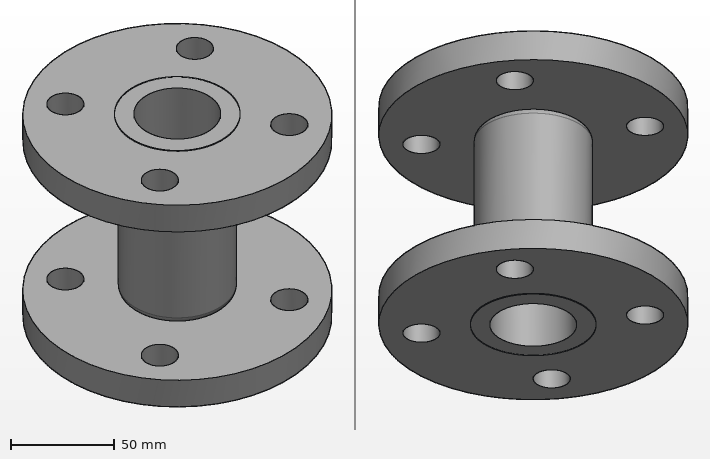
import cadquery as cq

flange_diameter = 150.0
flange_thickness = 16.0
total_height = 122.0
bore_diameter = 42.2

face_diameter = 61.0
face_height = 0.5

body_diameter = 57.5
body_edge_radius = 3.8
body_length = total_height - 2 * (flange_thickness + face_height)

bolt_hole_diameter = 18.0
bolt_circle_diameter = 110.0
bolt_count = 4
first_bolt_angle = 45.0


def disc(diameter, height, base_z):
    """Upright solid cylinder on the Z axis, starting at base_z."""
    return cq.Workplane("XY").workplane(offset=base_z).circle(diameter / 2).extrude(height)


def make_body():
    """Cylinder centred on the origin with rounded end edges."""
    cylinder = disc(body_diameter, body_length, -body_length / 2)
    return cylinder.edges("%CIRCLE").fillet(body_edge_radius)


def make_upper_flange():
    """Flange with its raised face, sitting on the upper end of the body."""
    base_z = body_length / 2
    plate = disc(flange_diameter, flange_thickness, base_z)
    sealing_face = disc(face_diameter, face_height, base_z + flange_thickness)
    return plate.union(sealing_face)


def make_bolt_holes():
    """Cutters for the bolt holes, running through both flanges."""
    return (
        cq.Workplane("XY")
        .workplane(offset=-total_height / 2)
        .polarArray(bolt_circle_diameter / 2, first_bolt_angle, 360, bolt_count)
        .circle(bolt_hole_diameter / 2)
        .extrude(total_height)
    )


upper_flange = make_upper_flange()
lower_flange = upper_flange.mirror("XY")
bore = disc(bore_diameter, total_height, -total_height / 2)

result = make_body().union(upper_flange).union(lower_flange)
result = result.cut(make_bolt_holes()).cut(bore)